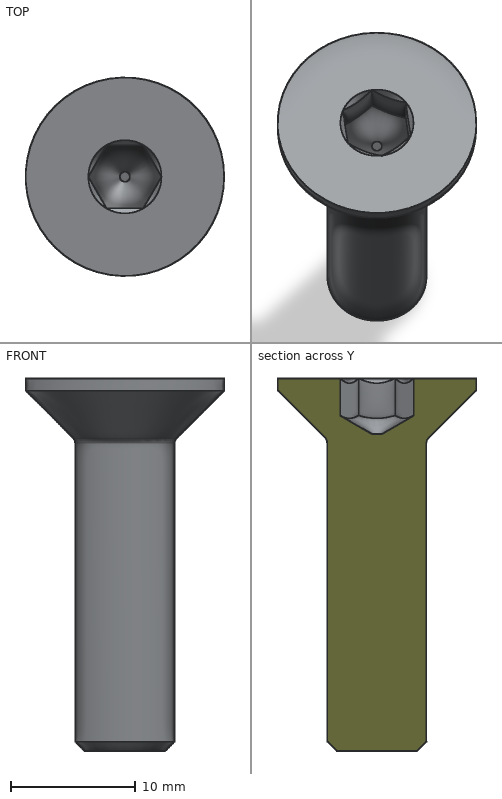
import cadquery as cq
import math

length = 30.0
head_diameter = 16.0
shank_diameter = 8.0

rim_height = 1.0
neck_fillet = 0.5
tip_chamfer = 0.78

socket_across_flats = 5.1
socket_wall_depth = 3.0
socket_floor_angle = 30.0
socket_floor_flat_diameter = 0.8

head_radius = head_diameter / 2
shank_radius = shank_diameter / 2
neck_z = length - rim_height - (head_radius - shank_radius)

socket_radius = socket_across_flats / math.sqrt(3)
floor_flat_radius = socket_floor_flat_diameter / 2
floor_drop = (socket_radius - floor_flat_radius) * math.tan(math.radians(socket_floor_angle))
socket_depth = socket_wall_depth + floor_drop


def screw_body():
    """Countersunk head and shank turned about Z, with a rounded neck and chamfered tip."""
    body = (
        cq.Workplane("XZ")
        .moveTo(0, 0)
        .lineTo(shank_radius - tip_chamfer, 0)
        .lineTo(shank_radius, tip_chamfer)
        .lineTo(shank_radius, neck_z)
        .lineTo(head_radius, length - rim_height)
        .lineTo(head_radius, length)
        .lineTo(0, length)
        .close()
        .revolve(360, (0, 0), (0, 1))
    )
    neck_edge = cq.selectors.BoxSelector(
        (-head_radius, -head_radius, neck_z - neck_fillet),
        (head_radius, head_radius, neck_z + neck_fillet),
        boundingbox=True,
    )
    return body.edges(neck_edge).fillet(neck_fillet)


def hex_socket():
    """Hexagonal prism ending in a conical floor with a small flat at its centre."""
    prism = (
        cq.Workplane("XY")
        .workplane(offset=length - socket_depth)
        .polygon(6, 2 * socket_radius)
        .extrude(socket_depth)
    )
    envelope = (
        cq.Workplane("XZ")
        .moveTo(0, length - socket_depth)
        .lineTo(floor_flat_radius, length - socket_depth)
        .lineTo(socket_radius, length - socket_wall_depth)
        .lineTo(socket_radius, length)
        .lineTo(0, length)
        .close()
        .revolve(360, (0, 0), (0, 1))
    )
    return prism.intersect(envelope)


def socket_lead_in():
    """45 degree cone that opens the socket mouth out to a circle through its corners."""
    return (
        cq.Workplane("XZ")
        .moveTo(0, length - socket_radius)
        .lineTo(socket_radius, length)
        .lineTo(0, length)
        .close()
        .revolve(360, (0, 0), (0, 1))
    )


result = screw_body().cut(hex_socket()).cut(socket_lead_in())